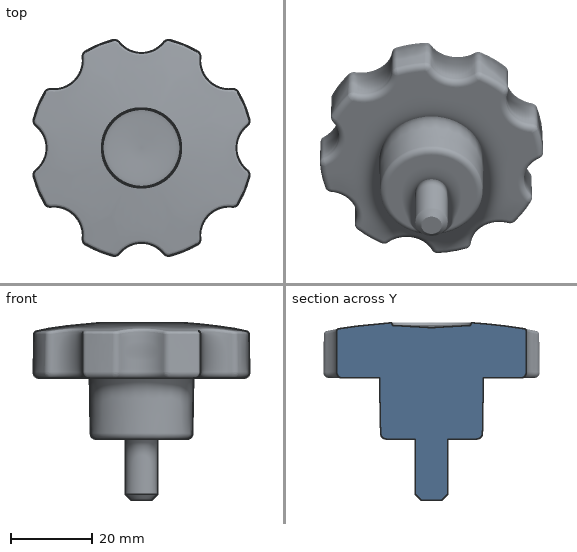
import cadquery as cq
import math

STUD_DIAMETER = 8.0
STUD_LENGTH = 15.0
STUD_CHAMFER = 1.5

HUB_HEIGHT = 15.0
HUB_BOTTOM_RADIUS = 12.55
HUB_FILLET = 1.5

DRAFT = math.tan(math.radians(1.0))
HEAD_HEIGHT = 14.0
HEAD_BOTTOM_RADIUS = 27.48
DOME_RADIUS = 145.0
LOBE_COUNT = 8
SCALLOP_RADIUS = 7.0
SCALLOP_FLOOR_RADIUS = 23.35
LOBE_CORNER_FILLET = 1.6
HEAD_BOTTOM_FILLET = 1.5
HEAD_TOP_FILLET = 0.75

RECESS_RIM_RADIUS = 9.8
RECESS_FLOOR_RADIUS = 9.5
RECESS_WALL_DEPTH = 0.67
RECESS_DISH_DEPTH = 0.54

CROWN_Z = HUB_HEIGHT + HEAD_HEIGHT


def dome_z(radius):
    """Height of the spherical dome at a distance from the axis."""
    return CROWN_Z - DOME_RADIUS + math.sqrt(DOME_RADIUS**2 - radius**2)


def make_stud():
    return (
        cq.Workplane("XY")
        .circle(STUD_DIAMETER / 2)
        .extrude(-STUD_LENGTH)
        .faces("<Z")
        .chamfer(STUD_CHAMFER)
    )


def make_hub():
    top_radius = HUB_BOTTOM_RADIUS + HUB_HEIGHT * DRAFT
    hub = (
        cq.Workplane("XZ")
        .lineTo(HUB_BOTTOM_RADIUS, 0)
        .lineTo(top_radius, HUB_HEIGHT)
        .lineTo(0, HUB_HEIGHT)
        .close()
        .revolve(360, (0, 0), (0, 1))
    )
    return hub.faces("<Z").edges().fillet(HUB_FILLET)


def make_head_blank():
    """Drafted round blank capped by the spherical dome."""
    wall_height = dome_z(HEAD_BOTTOM_RADIUS) - HUB_HEIGHT
    top_radius = HEAD_BOTTOM_RADIUS - wall_height * DRAFT
    middle_radius = top_radius / 2
    return (
        cq.Workplane("XZ")
        .moveTo(0, HUB_HEIGHT)
        .lineTo(HEAD_BOTTOM_RADIUS, HUB_HEIGHT)
        .lineTo(top_radius, dome_z(top_radius))
        .threePointArc((middle_radius, dome_z(middle_radius)), (0, CROWN_Z))
        .close()
        .revolve(360, (0, 0), (0, 1))
    )


def make_head():
    """Grip head with finger scallops and rounded edges."""
    scallops = (
        cq.Workplane("XY")
        .workplane(offset=HUB_HEIGHT)
        .polarArray(SCALLOP_FLOOR_RADIUS + SCALLOP_RADIUS, 0, 360, LOBE_COUNT)
        .circle(SCALLOP_RADIUS)
        .extrude(HEAD_HEIGHT)
    )
    head = make_head_blank().cut(scallops)
    corner_edges = head.edges("not(#Z)").edges(
        cq.selectors.BoxSelector(
            (-HEAD_BOTTOM_RADIUS, -HEAD_BOTTOM_RADIUS, HUB_HEIGHT + HEAD_HEIGHT / 4),
            (HEAD_BOTTOM_RADIUS, HEAD_BOTTOM_RADIUS, HUB_HEIGHT + HEAD_HEIGHT * 3 / 4),
        )
    )
    head = corner_edges.fillet(LOBE_CORNER_FILLET)
    head = head.faces(">Z").edges().fillet(HEAD_TOP_FILLET)
    return head.faces("<Z").edges().fillet(HEAD_BOTTOM_FILLET)


def make_recess_cutter():
    """Recess with a tapered wall and a shallow dished floor."""
    rim_z = dome_z(RECESS_RIM_RADIUS)
    floor_edge_z = rim_z - RECESS_WALL_DEPTH
    floor_centre_z = floor_edge_z - RECESS_DISH_DEPTH
    return (
        cq.Workplane("XZ")
        .moveTo(0, floor_centre_z)
        .lineTo(RECESS_FLOOR_RADIUS, floor_edge_z)
        .lineTo(RECESS_RIM_RADIUS, rim_z)
        .lineTo(RECESS_RIM_RADIUS, CROWN_Z)
        .lineTo(0, CROWN_Z)
        .close()
        .revolve(360, (0, 0), (0, 1))
    )


result = make_head().cut(make_recess_cutter()).union(make_hub()).union(make_stud())